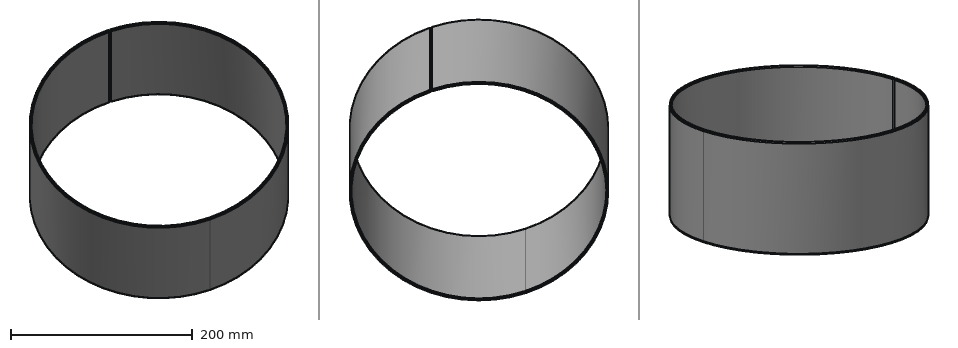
import cadquery as cq

outer_diameter = 285.0
height = 130.0
wall = 2.5

bevel_depth = 0.5
bevel_height = 1.7

slit_width = 2.5
slit_length = 3 * wall

outer_radius = outer_diameter / 2
inner_radius = outer_radius - wall
half_height = height / 2


def make_ring():
    """Revolve the wall section, bevelled at all four corners."""
    rim_outer_radius = outer_radius - bevel_depth
    rim_inner_radius = inner_radius + bevel_depth
    bevel_start = half_height - bevel_height
    section = [
        (inner_radius, -bevel_start),
        (rim_inner_radius, -half_height),
        (rim_outer_radius, -half_height),
        (outer_radius, -bevel_start),
        (outer_radius, bevel_start),
        (rim_outer_radius, half_height),
        (rim_inner_radius, half_height),
        (inner_radius, bevel_start),
    ]
    return cq.Workplane("XZ").polyline(section).close().revolve(360, (0, 0), (0, 1))


def make_slit():
    """Full-height cutter for the slit, lying on the +Y side of the XZ plane."""
    slit = cq.Workplane("XY").box(slit_length, slit_width, height)
    return slit.translate((-outer_radius, slit_width / 2, 0))


result = make_ring().cut(make_slit())